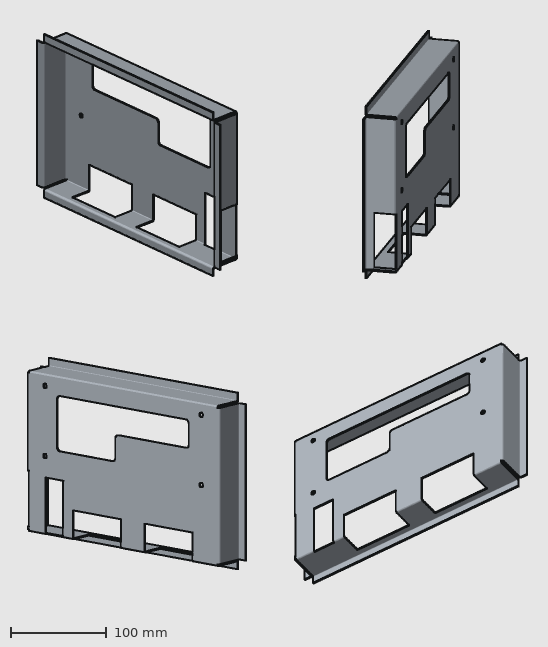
import cadquery as cq
import math

overall_width = 281.76
overall_height = 188.76
depth = 33.75

sheet = 1.5
inner_radius = 0.8
outer_radius = inner_radius + sheet

rim_reach = 8.48
base_half_width = overall_width / 2 - rim_reach - outer_radius
base_half_height = overall_height / 2 - rim_reach - outer_radius
base_front = depth - sheet
wall_underside = -base_half_height - outer_radius

hole_diameter = 4.9
hole_spacing_x = 215.2
hole_top_z = 73.0
hole_bottom_z = -2.0

window_left, window_right = -90.5, 91.0
window_top = 65.0
window_step_x = 10.8
window_step_z = 34.7
window_bottom = 5.8
window_corner_radius = 4.0

notch_width = 66.0
notch_lefts = (-95.6, 3.0)
notch_top = -54.7
notch_front = 8.5

slot_left, slot_right = 82.6, 107.2
slot_top = -25.0

side_opening_bottom = -81.0
side_opening_height = 60.0
side_opening_front = 10.0


def box(x_range, y_range, z_range):
    """Axis-aligned block between the given limits."""
    sizes = [high - low for low, high in (x_range, y_range, z_range)]
    corner = (x_range[0], y_range[0], z_range[0])
    return cq.Workplane("XY").box(*sizes, centered=False).translate(corner)


def make_wall(base_half_span, length):
    """Wall on the +X side of the base: bend, wall and outward rim in one Z extrusion."""
    wall_inner = base_half_span + inner_radius
    wall_outer = base_half_span + outer_radius
    rim_tip = wall_outer + rim_reach
    diagonal = math.cos(math.radians(45))

    base_bend_y = depth - outer_radius
    rim_bend_x = wall_inner + outer_radius
    rim_bend_y = outer_radius

    def base_bend_middle(radius):
        return (base_half_span + radius * diagonal, base_bend_y + radius * diagonal)

    def rim_bend_middle(radius):
        return (rim_bend_x - radius * diagonal, rim_bend_y - radius * diagonal)

    profile = (
        cq.Workplane("XY")
        .moveTo(base_half_span, depth)
        .threePointArc(base_bend_middle(outer_radius), (wall_outer, base_bend_y))
        .lineTo(wall_outer, rim_bend_y)
        .threePointArc(rim_bend_middle(inner_radius), (rim_bend_x, sheet))
        .lineTo(rim_tip, sheet)
        .lineTo(rim_tip, 0)
        .lineTo(rim_bend_x, 0)
        .threePointArc(rim_bend_middle(outer_radius), (wall_inner, rim_bend_y))
        .lineTo(wall_inner, base_bend_y)
        .threePointArc(base_bend_middle(inner_radius), (base_half_span, base_front))
        .close()
    )
    return profile.extrude(length / 2, both=True)


def make_tray():
    """Base plate with a flanged wall on each of its four sides."""
    tray = box(
        (-base_half_width, base_half_width),
        (base_front, depth),
        (-base_half_height, base_half_height),
    )
    side_wall = make_wall(base_half_width, 2 * base_half_height)
    end_wall = make_wall(base_half_height, 2 * base_half_width)
    y_axis = ((0, 0, 0), (0, 1, 0))
    for wall, angle in ((side_wall, 0), (side_wall, 180), (end_wall, 90), (end_wall, -90)):
        tray = tray.union(wall.rotate(*y_axis, angle))
    return tray


def base_sketch():
    """Workplane on the plane Y = 0 with local axes X and Z, extruding toward -Y."""
    return cq.Workplane("XZ")


def mounting_holes():
    half_spacing = hole_spacing_x / 2
    centers = [(x, z) for x in (-half_spacing, half_spacing) for z in (hole_top_z, hole_bottom_z)]
    return base_sketch().pushPoints(centers).circle(hole_diameter / 2).extrude(-depth)


def stepped_window():
    outline = [
        (window_left, window_top),
        (window_right, window_top),
        (window_right, window_bottom),
        (window_step_x, window_bottom),
        (window_step_x, window_step_z),
        (window_left, window_step_z),
    ]
    window = base_sketch().polyline(outline).close().extrude(-depth)
    return window.edges("|Y").fillet(window_corner_radius)


def bottom_notch(left):
    return box((left, left + notch_width), (notch_front, depth), (wall_underside, notch_top))


def narrow_slot():
    return box((slot_left, slot_right), (depth - outer_radius, depth), (wall_underside, slot_top))


def side_opening():
    return box(
        (base_half_width, base_half_width + outer_radius),
        (side_opening_front, depth),
        (side_opening_bottom, side_opening_bottom + side_opening_height),
    )


result = make_tray().cut(mounting_holes()).cut(stepped_window())
for notch_left in notch_lefts:
    result = result.cut(bottom_notch(notch_left))
result = result.cut(narrow_slot()).cut(side_opening())